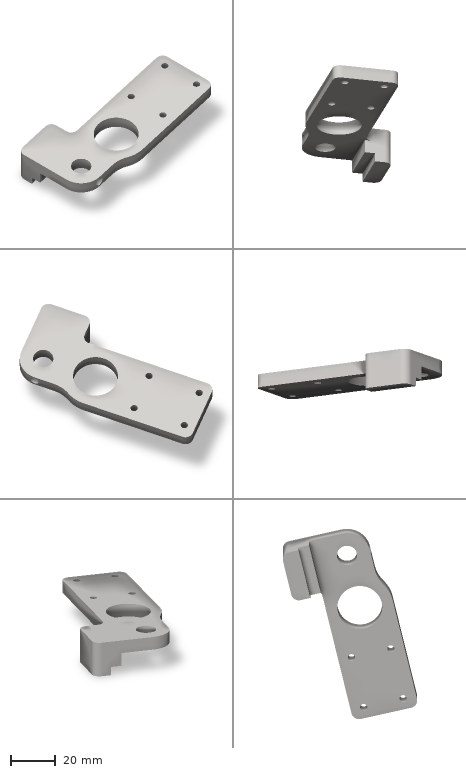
import cadquery as cq
import math

length = 86.6
height = 15.85
plate_thickness = 6.0
plate_width = 30.0
corner_radius = 3.5

tab_reach = 12.65
tab_depth = 23.0
upper_step_height = 6.0
lower_step_width = 7.9

large_bore = 20.0
small_bore = 9.0
bore_spacing = 25.0
end_radius = 10.5
cross_hole = 4.0

mount_hole = 3.2
mount_spacing_x = 18.0
mount_spacing_y = 24.0
mount_edge_distance = 5.0

center_x = tab_reach + plate_width / 2
plate_right = tab_reach + plate_width
neck_right = center_x + end_radius
small_bore_y = end_radius
large_bore_y = small_bore_y + bore_spacing
plate_bottom = height - plate_thickness

blend_radius = plate_width / 2
blend_angle = math.acos((end_radius + blend_radius) / (2 * blend_radius))
neck_top_y = large_bore_y - 2 * blend_radius * math.sin(blend_angle)


def point_on_arc(x, y, radius, angle):
    return (x + radius * math.cos(angle), y + radius * math.sin(angle))


def make_plate():
    blend_x = neck_right + blend_radius
    half_angle = blend_angle / 2
    inflection = point_on_arc(center_x, large_bore_y, blend_radius, -blend_angle)
    concave_mid = point_on_arc(blend_x, neck_top_y, blend_radius, math.pi - half_angle)
    convex_mid = point_on_arc(center_x, large_bore_y, blend_radius, -half_angle)
    end_mid = point_on_arc(center_x, small_bore_y, end_radius, -math.pi / 4)
    plate = (
        cq.Workplane("XY", origin=(0, 0, plate_bottom))
        .lineTo(center_x, 0)
        .threePointArc(end_mid, (neck_right, small_bore_y))
        .lineTo(neck_right, neck_top_y)
        .threePointArc(concave_mid, inflection)
        .threePointArc(convex_mid, (plate_right, large_bore_y))
        .lineTo(plate_right, length)
        .lineTo(tab_reach, length)
        .lineTo(tab_reach, tab_depth)
        .lineTo(0, tab_depth)
        .close()
        .extrude(plate_thickness)
    )
    rounded_corners = [
        (0, 0),
        (0, tab_depth),
        (tab_reach, tab_depth),
        (tab_reach, length),
        (plate_right, length),
    ]
    for x, y in rounded_corners:
        corner = cq.selectors.NearestToPointSelector((x, y, height - plate_thickness / 2))
        plate = plate.edges("|Z").edges(corner).fillet(corner_radius)
    return plate


def make_foot():
    upper_step_bottom = plate_bottom - upper_step_height
    upper = cq.Workplane("XY").box(tab_reach, tab_depth, upper_step_height, centered=False)
    upper = upper.translate((0, 0, upper_step_bottom))
    lower = cq.Workplane("XY").box(lower_step_width, tab_depth, upper_step_bottom, centered=False)
    return upper.union(lower).edges("|Z and <X").fillet(corner_radius)


def vertical_holes(points, diameter):
    return cq.Workplane("XY").pushPoints(points).circle(diameter / 2).extrude(height)


def make_cross_hole():
    """Hole from the right edge into the small bore, at mid thickness."""
    start = (center_x, small_bore_y, height - plate_thickness / 2)
    return cq.Workplane("YZ", origin=start).circle(cross_hole / 2).extrude(plate_width / 2)


mount_points = [
    (center_x + side * mount_spacing_x / 2, length - mount_edge_distance - row * mount_spacing_y)
    for side in (-1, 1)
    for row in (0, 1)
]

result = (
    make_plate()
    .union(make_foot())
    .cut(vertical_holes([(center_x, large_bore_y)], large_bore))
    .cut(vertical_holes([(center_x, small_bore_y)], small_bore))
    .cut(vertical_holes(mount_points, mount_hole))
    .cut(make_cross_hole())
)